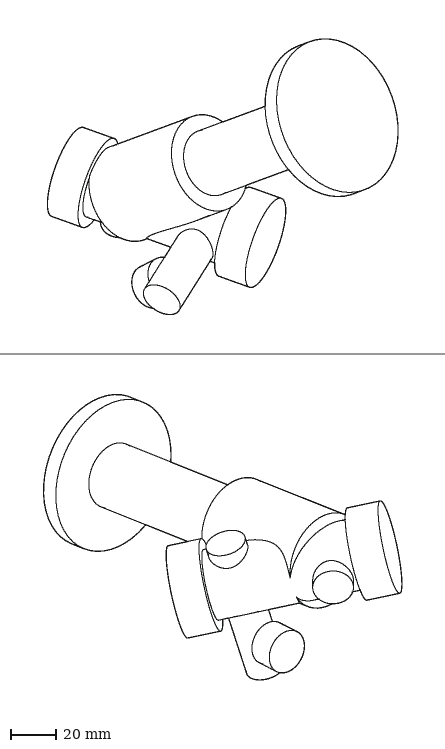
import cadquery as cq
import math

pipe_length = 97.0
pipe_diameter = 32.0
flange_diameter = 41.9
flange_width = 15.0

stem_angle = 45
stem_base_x = 29.2
sleeve_diameter = 44
sleeve_length = 57.1
stem_diameter = 30.0
wheel_diameter = 70.0
wheel_thickness = 8.0
wheel_top = 145.7

port_diameter = 18.0
drain_x = 26.0
drain_depth = 21.2
side_port_x = 69.9
side_port_front = 50.0
side_port_back = 20.5

cap_angle = 230
cap_y = -31.9
cap_diameter = 20.0
cap_start = 9.9
cap_end = 22.3
pin_diameter = 8.0


def cylinder(start, direction, diameter, length):
    """Solid cylinder from a start point along a direction."""
    solid = cq.Solid.makeCylinder(diameter / 2, length, cq.Vector(*start), cq.Vector(*direction))
    return cq.Workplane(obj=solid)


def direction_in_xz(angle):
    """Unit direction in the XZ plane, at an angle in degrees from +X towards +Z."""
    return (math.cos(math.radians(angle)), 0, math.sin(math.radians(angle)))


def flanged_pipe():
    along_x = (1, 0, 0)
    body = cylinder((0, 0, 0), along_x, pipe_diameter, pipe_length)
    for flange_x in (0, pipe_length - flange_width):
        body = body.union(cylinder((flange_x, 0, 0), along_x, flange_diameter, flange_width))
    return body


def stem_and_wheel():
    axis = direction_in_xz(stem_angle)
    base = (stem_base_x, 0, 0)
    wheel_bottom = wheel_top - wheel_thickness
    wheel_start = (stem_base_x + wheel_bottom * axis[0], 0, wheel_bottom * axis[2])
    sleeve = cylinder(base, axis, sleeve_diameter, sleeve_length)
    stem = cylinder(base, axis, stem_diameter, wheel_top)
    wheel = cylinder(wheel_start, axis, wheel_diameter, wheel_thickness)
    return sleeve.union(stem).union(wheel)


def drain_port():
    return cylinder((drain_x, 0, 0), (0, 0, -1), port_diameter, drain_depth)


def side_port():
    port_length = side_port_front + side_port_back
    return cylinder((side_port_x, side_port_back, 0), (0, -1, 0), port_diameter, port_length)


def capped_pin():
    axis = direction_in_xz(cap_angle)
    pin_start = (side_port_x, cap_y, 0)
    cap_base = (side_port_x + cap_start * axis[0], cap_y, cap_start * axis[2])
    pin = cylinder(pin_start, axis, pin_diameter, cap_end)
    cap = cylinder(cap_base, axis, cap_diameter, cap_end - cap_start)
    return pin.union(cap)


result = (
    flanged_pipe()
    .union(stem_and_wheel())
    .union(drain_port())
    .union(side_port())
    .union(capped_pin())
)